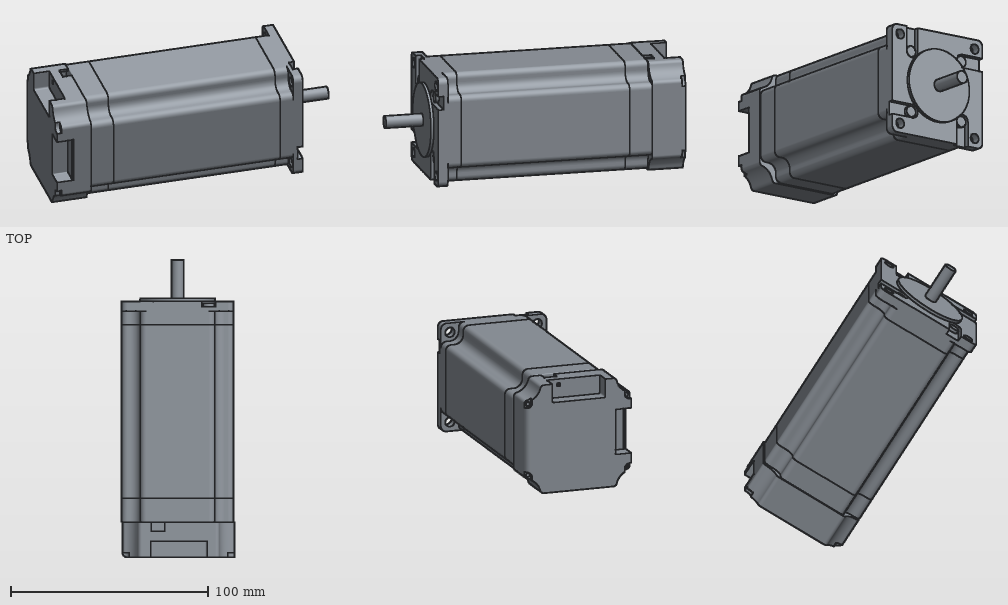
import cadquery as cq


MOTOR_SIZE = 57.0
MOTOR_HALF = MOTOR_SIZE / 2
FLANGE_THICKNESS = 5.0
FRONT_LENGTH = 12.0
STATOR_LENGTH = 88.0
REAR_LENGTH = 12.0
REAR_FACE_Y = -(FRONT_LENGTH + STATOR_LENGTH + REAR_LENGTH)
CORNER_RADIUS = 3.0
REAR_EDGE_RADIUS = 0.45
CUTAWAY_INNER = 19.0
CUTAWAY_RADIUS = 4.7

HOLE_OFFSET = 47.14 / 2
HOLE_DIAMETER = 5.0
PILOT_DIAMETER = 38.1
PILOT_HEIGHT = 1.6
SHAFT_DIAMETER = 6.35
SHAFT_LENGTH = 21.0

SCREW_OFFSET = 15.85
HEAD_DIAMETER = 5.7
HEAD_HEIGHT = 1.8
SHANK_DIAMETER = 3.0
SHANK_LENGTH = 8.0
SCREW_POCKET_WIDTH = 7.0
SCREW_POCKET_DEPTH = 2.8

OVERALL_LENGTH = 151.0
COVER_SIZE = 57.0
COVER_HALF = COVER_SIZE / 2
COVER_X = 0.5
COVER_Z = -0.5
COVER_END_Y = SHAFT_LENGTH - OVERALL_LENGTH
SCALLOP_OFFSET = 29.0
SCALLOP_RADIUS = 8.6
SCALLOP_EDGE_RADIUS = 2.05
SIDE_ROUND_RADIUS = 2.6

CAVITY_WIDTH = 34.0
CAVITY_DEPTH = 8.0
COVER_WALL = 1.2

SEAT_INNER_X = 24.95
SEAT_INNER_Z = 16.9
SEAT_RADIUS = 3.0
SEAT_DEPTH = 2.4
SEAT_HOLE_X = 26.5
SEAT_HOLE_Z = 18.7
SEAT_HOLE_DIAMETER = 2.2
SEAT_HOLE_DEPTH = 8.0

TOP_POCKET_WIDTH = 28.7
TOP_POCKET_X = 0.65
TOP_POCKET_FLOOR_Z = 18.3
TOP_POCKET_DEPTH = 8.2
TOP_POCKET_RADIUS = 1.0
LED_X = -7.35
LED_Z = 25.05
LED_DIAMETER = 1.9
LED_DEPTH = 2.0
SIDE_POCKET_FLOOR_X = 20.5
SIDE_POCKET_LOW_Z = -12.2
SIDE_POCKET_HIGH_Z = 11.5
SIDE_POCKET_DEPTH = TOP_POCKET_DEPTH
SIDE_POCKET_RADIUS = 0.5
SIDE_LIP_X = 27.8
SIDE_LIP_DEPTH = 0.5
CABLE_SLOT_LEFT_X = -13.2
CABLE_SLOT_RIGHT_X = -6.4
CABLE_SLOT_LENGTH = 4.7

CORNER_SIGNS = [(sx, sz) for sx in (-1, 1) for sz in (-1, 1)]


def block(x_range, y_range, z_range):
    """Box spanning the given (low, high) ranges."""
    ranges = (x_range, y_range, z_range)
    sizes = [high - low for low, high in ranges]
    lows = [low for low, high in ranges]
    return cq.Workplane("XY").box(*sizes, centered=False).translate(tuple(lows))


def rod(diameter, x, z, y_from, y_to):
    """Cylinder along Y centred at (x, z)."""
    low = min(y_from, y_to)
    length = abs(y_to - y_from)
    return cq.Workplane("XZ", origin=(x, low, z)).circle(diameter / 2).extrude(-length)


def square_bar(half, y_low, y_high):
    """Square bar along Y centred on the motor axis."""
    return block((-half, half), (y_low, y_high), (-half, half))


def corner_cutaway(y_low, y_high):
    """Material missing at the (+X, +Z) corner, with its inner edge rounded."""
    span = (CUTAWAY_INNER, MOTOR_SIZE)
    return block(span, (y_low, y_high), span).edges("|Y and <X and <Z").fillet(CUTAWAY_RADIUS)


def body_section(y_low, y_high):
    """Length of motor body: a square bar with rounded cutaways at its corners."""
    wide = block((-MOTOR_HALF, MOTOR_HALF), (y_low, y_high), (-CUTAWAY_INNER, CUTAWAY_INNER))
    wide = wide.edges("|Y").fillet(CORNER_RADIUS)
    tall = wide.rotate((0, 0, 0), (0, 1, 0), 90)
    core = square_bar(CUTAWAY_INNER + CUTAWAY_RADIUS, y_low, y_high)
    cutaway = corner_cutaway(y_low, y_high)
    for turn in range(4):
        core = core.cut(cutaway.rotate((0, 0, 0), (0, 1, 0), 90 * turn))
    return wide.union(tall).union(core).clean()


def make_screw():
    """Cap screw at the (+X, +Z) corner, its head sunk below the mounting face."""
    seat_y = -SCREW_POCKET_DEPTH
    head = rod(HEAD_DIAMETER, SCREW_OFFSET, SCREW_OFFSET, seat_y, seat_y + HEAD_HEIGHT)
    shank = rod(SHANK_DIAMETER, SCREW_OFFSET, SCREW_OFFSET, seat_y - SHANK_LENGTH, seat_y)
    return head.union(shank)


def screw_pocket():
    """Screw seat that runs out through the top of the flange, plus the hole for the shank."""
    seat_y = -SCREW_POCKET_DEPTH
    half_width = SCREW_POCKET_WIDTH / 2
    seat = rod(SCREW_POCKET_WIDTH, SCREW_OFFSET, SCREW_OFFSET, seat_y, 0)
    runout = block(
        (SCREW_OFFSET - half_width, SCREW_OFFSET + half_width),
        (seat_y, 0),
        (SCREW_OFFSET, MOTOR_HALF),
    )
    hole = rod(SHANK_DIAMETER, SCREW_OFFSET, SCREW_OFFSET, seat_y - SHANK_LENGTH, seat_y)
    return seat.union(runout).union(hole)


def make_front_housing():
    """Flanged front end with its pilot and the shaft."""
    flange = square_bar(MOTOR_HALF, -FLANGE_THICKNESS, 0).edges("|Y").fillet(CORNER_RADIUS)
    for sx, sz in CORNER_SIGNS:
        flange = flange.cut(rod(HOLE_DIAMETER, sx * HOLE_OFFSET, sz * HOLE_OFFSET, -FLANGE_THICKNESS, 0))
    housing = flange.union(body_section(-FRONT_LENGTH, -FLANGE_THICKNESS))
    pocket = screw_pocket()
    for turn in range(4):
        housing = housing.cut(pocket.rotate((0, 0, 0), (0, 1, 0), 90 * turn))
    pilot = rod(PILOT_DIAMETER, 0, 0, 0, PILOT_HEIGHT)
    shaft = rod(SHAFT_DIAMETER, 0, 0, 0, SHAFT_LENGTH)
    return housing.union(pilot).union(shaft)


def make_rear_housing():
    """Rear end of the motor, with its rear outline rounded."""
    housing = body_section(REAR_FACE_Y, REAR_FACE_Y + REAR_LENGTH)
    return housing.faces("<Y").edges().fillet(REAR_EDGE_RADIUS)


def cover_blank():
    """Square cover with rounded scallops at its corners and one rounded rear edge."""
    blank = square_bar(COVER_HALF, COVER_END_Y, REAR_FACE_Y)
    for sx, sz in CORNER_SIGNS:
        scallop = rod(
            2 * SCALLOP_RADIUS, sx * SCALLOP_OFFSET, sz * SCALLOP_OFFSET, COVER_END_Y, REAR_FACE_Y
        )
        blank = blank.cut(scallop)
    blank = blank.edges("|Y").fillet(SCALLOP_EDGE_RADIUS)

    edge_x = (-COVER_HALF, -COVER_HALF + SIDE_ROUND_RADIUS)
    edge_y = (COVER_END_Y, COVER_END_Y + SIDE_ROUND_RADIUS)
    edge = block(edge_x, edge_y, (-SEAT_HOLE_Z, SEAT_HOLE_Z))
    rounding = (
        cq.Workplane("XY", origin=(edge_x[1], edge_y[1], -SEAT_HOLE_Z))
        .circle(SIDE_ROUND_RADIUS)
        .extrude(2 * SEAT_HOLE_Z)
    )
    return blank.cut(edge.cut(rounding))


def cut_cavity(cover):
    """Hollow on the motor side of the cover, leaving thin top and bottom walls."""
    half_width = CAVITY_WIDTH / 2
    half_height = COVER_HALF - COVER_WALL
    cavity = block(
        (-half_width, half_width),
        (REAR_FACE_Y - CAVITY_DEPTH, REAR_FACE_Y),
        (-half_height, half_height),
    )
    return cover.cut(cavity)


def cut_screw_seats(cover):
    """Screw seats with one rounded inner corner, open to the outside, each with a screw hole."""
    floor_y = COVER_END_Y + SEAT_DEPTH
    seat = block(
        (SEAT_INNER_X, COVER_SIZE),
        (COVER_END_Y, floor_y),
        (SEAT_INNER_Z, COVER_SIZE),
    )
    seat = seat.edges("|Y and <X and <Z").fillet(SEAT_RADIUS)
    hole = rod(SEAT_HOLE_DIAMETER, SEAT_HOLE_X, SEAT_HOLE_Z, floor_y, floor_y + SEAT_HOLE_DEPTH)
    right_pair = seat.union(hole)
    right_pair = right_pair.union(right_pair.mirror("XY"))
    return cover.cut(right_pair).cut(right_pair.mirror("YZ"))


def cut_top_pocket(cover):
    """Connector pocket open to the top and rear, with a small round hole in its end wall."""
    end_y = COVER_END_Y + TOP_POCKET_DEPTH
    half_width = TOP_POCKET_WIDTH / 2
    pocket = block(
        (TOP_POCKET_X - half_width, TOP_POCKET_X + half_width),
        (COVER_END_Y, end_y),
        (TOP_POCKET_FLOOR_Z, COVER_SIZE),
    )
    pocket = pocket.edges("|Y and <Z").fillet(TOP_POCKET_RADIUS)
    led_hole = rod(LED_DIAMETER, LED_X, LED_Z, end_y, end_y + LED_DEPTH)
    return cover.cut(pocket).cut(led_hole)


def cut_side_pocket(cover):
    """Connector pocket open to the +X side and rear, slightly deeper along its outer lip."""
    end_y = COVER_END_Y + SIDE_POCKET_DEPTH
    z_range = (SIDE_POCKET_LOW_Z, SIDE_POCKET_HIGH_Z)
    pocket = block((SIDE_POCKET_FLOOR_X, COVER_SIZE), (COVER_END_Y, end_y), z_range)
    pocket = pocket.edges("|Y and <X").fillet(SIDE_POCKET_RADIUS)
    lip = block((SIDE_LIP_X, COVER_SIZE), (end_y, end_y + SIDE_LIP_DEPTH), z_range)
    return cover.cut(pocket).cut(lip)


def cut_cable_slot(cover):
    """Opening through the top wall into the cavity, where the cover meets the motor."""
    top_z = COVER_Z + COVER_HALF
    slot = block(
        (CABLE_SLOT_LEFT_X, CABLE_SLOT_RIGHT_X),
        (REAR_FACE_Y - CABLE_SLOT_LENGTH, REAR_FACE_Y),
        (top_z - COVER_WALL, top_z),
    )
    return cover.cut(slot)


def make_cover():
    """Rear electronics cover."""
    cover = cut_screw_seats(cut_cavity(cover_blank())).translate((COVER_X, 0, COVER_Z))
    cover = cut_top_pocket(cover)
    cover = cut_side_pocket(cover)
    return cut_cable_slot(cover)


front_housing = make_front_housing()
stator = body_section(-FRONT_LENGTH - STATOR_LENGTH, -FRONT_LENGTH)
rear_housing = make_rear_housing()
cover = make_cover()
screws = [make_screw().rotate((0, 0, 0), (0, 1, 0), 90 * turn) for turn in range(4)]

result = cq.Compound.makeCompound(
    [
        front_housing.val(),
        stator.val(),
        rear_housing.val(),
        cover.val(),
        *[screw.val() for screw in screws],
    ]
)